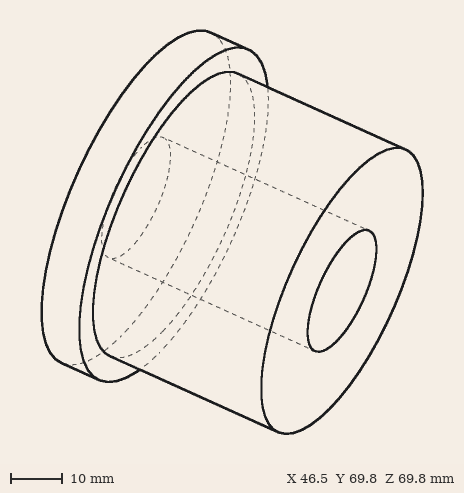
import cadquery as cq

total_length = 46.45
flange_diameter = 69.85
flange_thickness = 8.5
sleeve_diameter = 59.7
bore_diameter = 25.4

sleeve_length = total_length - flange_thickness

flange = cq.Workplane("YZ").circle(flange_diameter / 2).extrude(flange_thickness)

bushing = flange.faces(">X").workplane().circle(sleeve_diameter / 2).extrude(sleeve_length)

result = bushing.faces(">X").workplane().hole(bore_diameter)